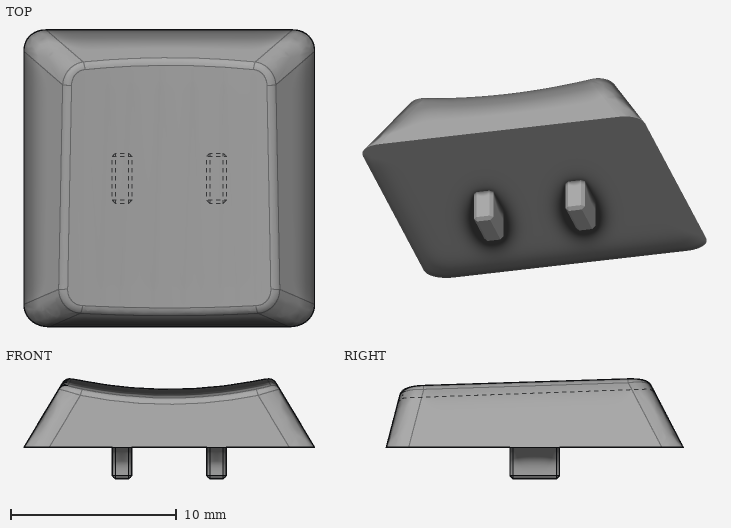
import cadquery as cq

base_width = 17.52
base_length = 17.9
side_lean = 0.6
back_lean = 0.52
front_lean = 0.26
corner_radius = 1.5

dish_radius = 26.5
dish_height = 3.25
dish_tilt = 2.1
rim_radius = 0.5

leg_spacing = 5.7
leg_width = 1.2
leg_length = 3.0
leg_drop = 1.9
leg_chamfer = 0.2

blank_height = 5.37
cutter_length = 2 * base_length


def skirt_blank():
    """Tapered block with rounded corner edges, taller than the finished cap."""
    top_width = base_width - 2 * side_lean * blank_height
    top_length = base_length - (front_lean + back_lean) * blank_height
    top_shift = (front_lean - back_lean) / 2 * blank_height
    blank = (
        cq.Workplane("XY")
        .rect(base_width, base_length)
        .workplane(offset=blank_height)
        .center(0, top_shift)
        .rect(top_width, top_length)
        .loft(ruled=True)
    )
    corner_edges = blank.edges().filter(lambda edge: edge.BoundingBox().zlen > blank_height / 2)
    return corner_edges.fillet(corner_radius)


def dish_cutter():
    """Cylinder whose lowest line passes through dish_height above the centre of the base."""
    return (
        cq.Workplane("XZ")
        .center(0, dish_radius)
        .circle(dish_radius)
        .extrude(cutter_length / 2, both=True)
        .rotate((0, 0, 0), (1, 0, 0), dish_tilt)
        .translate((0, 0, dish_height))
    )


def leg(x):
    """Leg hanging below the base, chamfered on its upright edges and around its tip."""
    return (
        cq.Workplane("XY")
        .center(x, 0)
        .rect(leg_width, leg_length)
        .extrude(-leg_drop)
        .edges("|Z or <Z")
        .chamfer(leg_chamfer)
    )


cap = skirt_blank().cut(dish_cutter())
rim_edges = cap.faces(cq.selectors.NearestToPointSelector((0, 0, dish_height))).edges()
cap = rim_edges.fillet(rim_radius)

result = cap
for side in (-1, 1):
    result = result.union(leg(side * leg_spacing / 2))